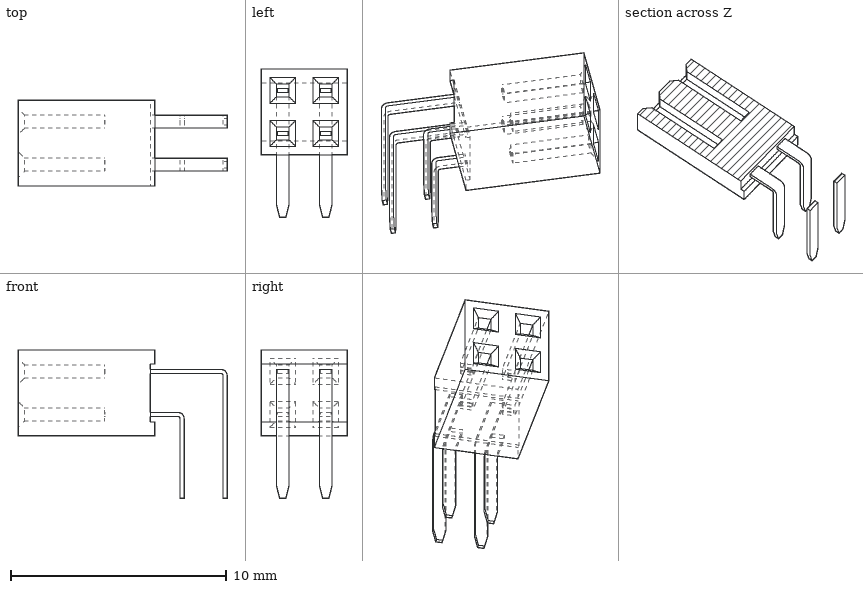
import cadquery as cq

pitch = 2.0
rows = 2
columns = 2
body_length = 6.35
body_width = columns * pitch
body_height = rows * pitch

groove_depth = 0.2
groove_height = 2.68
groove_floor_x = body_length - groove_depth

mouth_size = 1.2
throat_size = 0.6
taper_depth = (mouth_size - throat_size) / 2
throat_depth = 4.0

pin_width = 0.6
pin_thickness = 0.2
pin_bottom_z = -4.9
upper_pin_x = 9.72
tip_length = 0.6
tip_width = 0.3
bend_outer_radius = 0.3
bend_inner_radius = bend_outer_radius - pin_thickness
pin_embed = 0.5

recess_floor_width = 0.51
recess_depth = (throat_size - recess_floor_width) / 2

column_centres = [(i - (columns - 1) / 2) * pitch for i in range(columns)]
row_centres = [(i - (rows - 1) / 2) * pitch for i in range(rows)]


def block(x_start, x_end, y_centre, width, z_low, z_high):
    """Axis-aligned box given by its X range, Y centre and width, and Z range."""
    return (
        cq.Workplane("XY")
        .box(x_end - x_start, width, z_high - z_low, centered=(False, True, False))
        .translate((x_start, y_centre, z_low))
    )


def make_housing():
    housing = block(0, body_length, 0, body_width, -body_height / 2, body_height / 2)
    groove = block(groove_floor_x, body_length, 0, body_width, -groove_height / 2, groove_height / 2)
    return housing.cut(groove)


def make_socket(y, z):
    """Square throat with a funnel-shaped mouth."""
    funnel = (
        cq.Workplane("YZ")
        .center(y, z)
        .rect(mouth_size, mouth_size)
        .workplane(offset=taper_depth)
        .rect(throat_size, throat_size)
        .loft(ruled=True)
    )
    half = throat_size / 2
    throat = block(0, throat_depth, y, throat_size, z - half, z + half)
    return funnel.union(throat)


def make_contact_recess(y, z):
    """Shallow recess in line with the pin, its two sides sloping at 45 degrees."""
    return (
        cq.Workplane("XY", origin=(throat_depth, y, z - pin_thickness / 2))
        .moveTo(0, -throat_size / 2)
        .lineTo(recess_depth, -recess_floor_width / 2)
        .lineTo(recess_depth, recess_floor_width / 2)
        .lineTo(0, throat_size / 2)
        .close()
        .extrude(pin_thickness)
    )


def make_pin(y, z):
    """Right-angle pin; each row below the top bends down one pitch sooner."""
    outer_x = upper_pin_x - (row_centres[-1] - z)
    inner_x = outer_x - pin_thickness
    top_z = z + pin_thickness / 2
    under_z = z - pin_thickness / 2
    shoulder_z = pin_bottom_z + tip_length
    start_x = groove_floor_x - pin_embed

    strip = block(start_x, outer_x, y, pin_width, under_z, top_z)
    leg = block(inner_x, outer_x, y, pin_width, shoulder_z, top_z)
    bent = strip.union(leg)
    bent = bent.edges(cq.NearestToPointSelector((outer_x, y, top_z))).fillet(bend_outer_radius)
    bent = bent.edges(cq.NearestToPointSelector((inner_x, y, under_z))).fillet(bend_inner_radius)
    tip = (
        cq.Workplane("YZ", origin=(inner_x, y, 0))
        .moveTo(-pin_width / 2, shoulder_z)
        .lineTo(-tip_width / 2, pin_bottom_z)
        .lineTo(tip_width / 2, pin_bottom_z)
        .lineTo(pin_width / 2, shoulder_z)
        .close()
        .extrude(pin_thickness)
    )
    return bent.union(tip)


result = make_housing()
for column_y in column_centres:
    for row_z in row_centres:
        result = result.cut(make_socket(column_y, row_z))
        result = result.cut(make_contact_recess(column_y, row_z))
        result = result.union(make_pin(column_y, row_z))